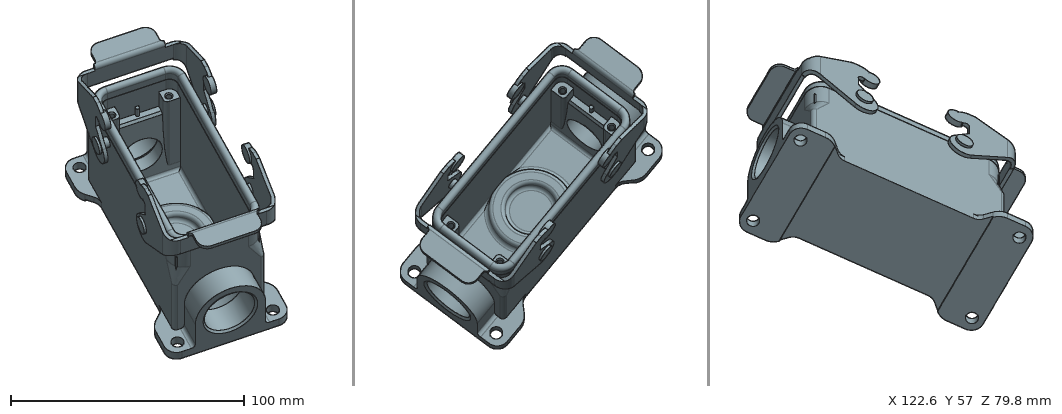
import cadquery as cq
import math

BODY_LENGTH = 92.9
BODY_WIDTH = 42.9
BODY_BOTTOM = 0.9
BODY_TOP = 57.7
UPPER_CORNER = 7.8
LOWER_CORNER = 2.0
BLEND_BOTTOM = 34.7
BLEND_TOP = 44.7

RIM_WALL = 3.9
RIM_INSET = 0.1
RIM_TOP = 63.4

FLOOR = 3.7
FLOOR_FILLET = 1.6
CAVITY_LENGTH = BODY_LENGTH - 2 * RIM_WALL
CAVITY_WIDTH = BODY_WIDTH - 2 * RIM_WALL
CAVITY_CORNER = UPPER_CORNER - RIM_WALL
FLOOR_LENGTH = 71.1
LEDGE_LENGTH = 79.5
LEDGE_TOP = 41.6
LEDGE_CHAMFER = 1.1
RIB_RADIUS = 0.9
RIB_CENTER_X = CAVITY_LENGTH / 2 - 0.9
RIB_HEIGHT = 4.9

POST_TOP = 51.2
POST_X = 35.9
POST_Y = 10.3
POST_ROUND = 1.8
SCREW_X = 38.7
SCREW_Y = 13.4
SCREW_HOLE = 2.5
SCREW_MOUTH = 3.5
SCREW_DEPTH = 12.3

RING_RADIUS = 14.7
RING_FLAT = 3.4
RING_ROUND = 1.8

ENTRY_Z = 19.9
ENTRY_RADIUS = 16.4
BASE_LENGTH = 116.7
BORE = 23.5
BORE_CHAMFER = 1.0
BORE_DEPTH = 13.5
CLEAR_HOLE = 19.0

FOOT_WIDTH = 57.0
FOOT_TOP = 4.5
FOOT_CORNER = 5.8
FOOT_INNER_CORNER = 8.0
FOOT_HOLE = 5.5
FOOT_HOLE_X = 52.7
FOOT_HOLE_Y = 22.3
FOOT_FILLET = 1.8
PAD_INNER_X = 38.1
SELECT_MARGIN = 0.1

SHEET = 1.7
LEVER_END_X = 51.1
LEVER_SIDE_Y = 26.1
LEVER_BEND = 6.0
LEVER_TOP = 79.8
STRAP_BOTTOM = 61.4
STRAP_TOP = 70.7
PIVOT_X = 24.0
PIVOT_Z = 53.7
PIN_DIAMETER = 4.8
HEAD_DIAMETER = 8.0
HEAD_END_Y = 27.2
LOBE_Z = 51.1
LOBE_RADIUS = 6.7
NECK_X = 26.7
THROAT_RADIUS = 1.5
CROWN_OUTER_X = 29.7
CROWN_INNER_X = 26.0
CROWN_SLOPE = 0.46
BROW_X = 23.0
BROW_Z = 78.8
HOOK_X = 20.7
HOOK_Z = 73.7
HOOK_RADIUS = 4.3
HOOK_THICKNESS = 2.7
TAB_TOP = 73.5
TAB_END_X = 61.3
TAB_WIDTH = 29.9
TAB_CORNER = 4.9
TAB_BEND = 2.1
TAB_FLARE = 1.5


def rounded_block(length, width, corner, bottom, top):
    block = cq.Workplane("XY").workplane(offset=bottom).rect(length, width).extrude(top - bottom)
    return block.edges("|Z").fillet(corner)


def rounded_sketch(corner, z):
    sketch = cq.Sketch().rect(BODY_LENGTH, BODY_WIDTH).vertices().fillet(corner)
    return sketch.moved(cq.Location(cq.Vector(0, 0, z)))


def both_ends(solid):
    return solid.union(solid.mirror("YZ"))


def make_shell():
    """Solid body whose small lower corners blend into large upper ones."""
    lower = rounded_block(BODY_LENGTH, BODY_WIDTH, LOWER_CORNER, BODY_BOTTOM, BLEND_BOTTOM)
    blend = (
        cq.Workplane("XY")
        .placeSketch(
            rounded_sketch(LOWER_CORNER, BLEND_BOTTOM),
            rounded_sketch(UPPER_CORNER, BLEND_TOP),
        )
        .loft(ruled=True)
    )
    upper = rounded_block(BODY_LENGTH, BODY_WIDTH, UPPER_CORNER, BLEND_TOP, BODY_TOP)
    return lower.union(blend).union(upper)


def make_rim():
    """Half-round bead swept around the mouth of the shell."""
    radius = RIM_WALL / 2 - RIM_INSET
    center_offset = RIM_WALL / 2
    height = RIM_TOP - BODY_TOP
    path = (
        cq.Workplane("XY", origin=(0, 0, BODY_TOP))
        .rect(BODY_LENGTH - 2 * center_offset, BODY_WIDTH - 2 * center_offset)
        .extrude(height)
        .edges("|Z").fillet(UPPER_CORNER - center_offset)
        .faces("<Z").wires()
    )
    return (
        cq.Workplane("XZ", origin=(0, BODY_WIDTH / 2 - center_offset, BODY_TOP))
        .transformed(rotate=(0, 90, 0))
        .moveTo(-radius, 0)
        .lineTo(radius, 0)
        .lineTo(radius, height - radius)
        .threePointArc((0, height), (-radius, height - radius))
        .close()
        .sweep(path)
    )


def make_foot_plate():
    """Foot plate of the -X end, raised beyond its inner edge."""
    x_end = -BASE_LENGTH / 2
    y_side = FOOT_WIDTH / 2
    y_body = BODY_WIDTH / 2
    slant = math.sqrt(0.5)
    inner_sweep = FOOT_INNER_CORNER * slant
    inner_drop = FOOT_INNER_CORNER * (1 - slant)
    x_arc = -PAD_INNER_X - inner_sweep
    hollow_drop = FOOT_CORNER * (1 - slant)
    x_hollow = -PAD_INNER_X + (y_side - inner_drop) - (y_body + hollow_drop)
    x_tip = x_hollow + FOOT_CORNER * slant
    angle = math.pi / 8

    half = (
        cq.Workplane("XY")
        .moveTo(x_end, 0)
        .lineTo(x_end, y_side - FOOT_CORNER)
        .radiusArc((x_end + FOOT_CORNER, y_side), FOOT_CORNER)
        .lineTo(x_arc, y_side)
        .threePointArc(
            (
                x_arc + FOOT_INNER_CORNER * math.sin(angle),
                y_side - FOOT_INNER_CORNER * (1 - math.cos(angle)),
            ),
            (-PAD_INNER_X, y_side - inner_drop),
        )
        .lineTo(x_hollow, y_body + hollow_drop)
        .threePointArc(
            (
                x_tip - FOOT_CORNER * math.sin(angle),
                y_body + FOOT_CORNER * (1 - math.cos(angle)),
            ),
            (x_tip, y_body),
        )
        .lineTo(x_tip, 0)
        .close()
        .extrude(FOOT_TOP)
    )
    plate = half.union(half.mirror("XZ"))
    relief = cq.Workplane("XY").box(
        PAD_INNER_X, FOOT_WIDTH, BODY_BOTTOM, centered=(False, True, False)
    )
    return plate.cut(relief.translate((-PAD_INNER_X, 0, 0)))


def make_end():
    """Foot plate and arched cable entry of the -X end."""
    x_end = -BASE_LENGTH / 2
    entry = (
        cq.Workplane("YZ", origin=(x_end, 0, 0))
        .moveTo(-ENTRY_RADIUS, 0)
        .lineTo(-ENTRY_RADIUS, ENTRY_Z)
        .threePointArc((0, ENTRY_Z + ENTRY_RADIUS), (ENTRY_RADIUS, ENTRY_Z))
        .lineTo(ENTRY_RADIUS, 0)
        .close()
        .extrude(BASE_LENGTH / 2 - BODY_LENGTH / 2 + RIM_WALL)
    )
    end = make_foot_plate().union(entry)
    corners = cq.selectors.BoxSelector(
        (x_end, -ENTRY_RADIUS - SELECT_MARGIN, FOOT_TOP - SELECT_MARGIN),
        (-BODY_LENGTH / 2, ENTRY_RADIUS + SELECT_MARGIN, FOOT_TOP + SELECT_MARGIN),
    )
    end = end.edges("|X").edges(corners).fillet(FOOT_FILLET)
    holes = (
        cq.Workplane("XY")
        .pushPoints([(-FOOT_HOLE_X, -FOOT_HOLE_Y), (-FOOT_HOLE_X, FOOT_HOLE_Y)])
        .circle(FOOT_HOLE / 2).extrude(FOOT_TOP)
    )
    return end.cut(holes)


def make_cavity():
    """Open pocket with sloping end walls below a chamfered ledge."""
    ledge_half = LEDGE_LENGTH / 2
    wall_half = ledge_half - LEDGE_CHAMFER
    floor_half = FLOOR_LENGTH / 2
    slope_top = LEDGE_TOP - LEDGE_CHAMFER
    lower = (
        cq.Workplane("XZ", origin=(0, CAVITY_WIDTH / 2, 0))
        .polyline([
            (-floor_half, FLOOR),
            (floor_half, FLOOR),
            (wall_half, slope_top),
            (ledge_half, LEDGE_TOP),
            (-ledge_half, LEDGE_TOP),
            (-wall_half, slope_top),
        ])
        .close()
        .extrude(CAVITY_WIDTH)
        .faces("<Z").edges().fillet(FLOOR_FILLET)
    )
    upper = rounded_block(CAVITY_LENGTH, CAVITY_WIDTH, CAVITY_CORNER, LEDGE_TOP, BODY_TOP)
    return lower.union(upper)


def make_posts():
    x_outer = CAVITY_LENGTH / 2 + RIM_WALL / 2
    y_outer = CAVITY_WIDTH / 2 + RIM_WALL / 2
    post = (
        cq.Workplane("XY").box(x_outer - POST_X, y_outer - POST_Y, POST_TOP - FLOOR, centered=False)
        .edges("|Z and <X and <Y").fillet(POST_ROUND)
        .translate((POST_X, POST_Y, FLOOR))
    )
    mouth_depth = (SCREW_MOUTH - SCREW_HOLE) / 2
    hole = (
        cq.Workplane("XY", origin=(SCREW_X, SCREW_Y, POST_TOP - SCREW_DEPTH))
        .circle(SCREW_HOLE / 2).extrude(SCREW_DEPTH)
        .faces(">Z").workplane(offset=-mouth_depth)
        .circle(SCREW_HOLE / 2).workplane(offset=mouth_depth).circle(SCREW_MOUTH / 2).loft()
    )
    post = post.cut(hole)
    pair = post.union(post.mirror("XZ"))
    return both_ends(pair)


def make_ribs():
    """Small round-nosed rib on the ledge at the middle of each end wall."""
    rib = (
        cq.Workplane("XY", origin=(RIB_CENTER_X, 0, LEDGE_TOP))
        .slot2D(4 * RIB_RADIUS, 2 * RIB_RADIUS).extrude(RIB_HEIGHT)
        .translate((RIB_RADIUS, 0, 0))
    )
    return both_ends(rib)


def make_floor_ring():
    r = RING_ROUND
    inner = RING_RADIUS - RING_FLAT / 2
    outer = RING_RADIUS + RING_FLAT / 2
    bend = math.sqrt(0.5) * r
    top = FLOOR + 2 * r
    return (
        cq.Workplane("XZ")
        .moveTo(inner - 2 * r, FLOOR)
        .threePointArc((inner - 2 * r + bend, FLOOR + r - bend), (inner - r, FLOOR + r))
        .threePointArc((inner - bend, top - r + bend), (inner, top))
        .lineTo(outer, top)
        .threePointArc((outer + bend, top - r + bend), (outer + r, FLOOR + r))
        .threePointArc((outer + 2 * r - bend, FLOOR + r - bend), (outer + 2 * r, FLOOR))
        .lineTo(outer + 2 * r, FLOOR - BODY_BOTTOM)
        .lineTo(inner - 2 * r, FLOOR - BODY_BOTTOM)
        .close()
        .revolve(360, (0, 0, 0), (0, 1, 0))
    )


def make_entry_bore():
    """Stepped bore of the -X end: chamfered mouth, conical step, clear hole."""
    x_mouth = -BASE_LENGTH / 2
    x_step = x_mouth + BORE_DEPTH
    bore = BORE / 2
    clear = CLEAR_HOLE / 2
    return (
        cq.Workplane("XZ")
        .polyline([
            (x_mouth, ENTRY_Z),
            (x_mouth, ENTRY_Z + bore + BORE_CHAMFER),
            (x_mouth + BORE_CHAMFER, ENTRY_Z + bore),
            (x_step, ENTRY_Z + bore),
            (x_step + bore - clear, ENTRY_Z + clear),
            (-FLOOR_LENGTH / 2, ENTRY_Z + clear),
            (-FLOOR_LENGTH / 2, ENTRY_Z),
        ])
        .close()
        .revolve(360, (0, ENTRY_Z, 0), (1, ENTRY_Z, 0))
    )


def make_lever_outline():
    """Side shape of the -X lever, wider in Y than the lever itself."""
    tangent = LOBE_RADIUS * math.sqrt(0.5)
    run = LEVER_END_X - PIVOT_X
    fall = STRAP_BOTTOM - LOBE_Z
    tilt = math.asin(LOBE_RADIUS / math.hypot(run, fall)) + math.atan2(fall, run)
    lobe_angle = math.pi / 8
    neck_z = LOBE_Z + 2 * tangent + NECK_X - PIVOT_X
    strap_edge_x = -CROWN_OUTER_X - (LEVER_TOP - STRAP_TOP) / CROWN_SLOPE
    hook_bottom = HOOK_Z - HOOK_RADIUS
    return (
        cq.Workplane("XZ", origin=(0, FOOT_WIDTH / 2, 0))
        .moveTo(-LEVER_END_X, STRAP_BOTTOM)
        .lineTo(-PIVOT_X - LOBE_RADIUS * math.sin(tilt), LOBE_Z - LOBE_RADIUS * math.cos(tilt))
        .threePointArc(
            (
                -PIVOT_X + LOBE_RADIUS * math.sin(lobe_angle),
                LOBE_Z - LOBE_RADIUS * math.cos(lobe_angle),
            ),
            (-PIVOT_X + tangent, LOBE_Z + tangent),
        )
        .lineTo(-NECK_X, neck_z)
        .lineTo(-NECK_X, hook_bottom)
        .threePointArc(
            (-NECK_X + THROAT_RADIUS, hook_bottom + THROAT_RADIUS),
            (-NECK_X + 2 * THROAT_RADIUS, hook_bottom + THROAT_RADIUS / 2),
        )
        .lineTo(-HOOK_X, HOOK_Z)
        .lineTo(-HOOK_X, HOOK_Z + HOOK_RADIUS - THROAT_RADIUS / 2)
        .threePointArc((-BROW_X, BROW_Z), (-CROWN_INNER_X, LEVER_TOP))
        .lineTo(-CROWN_OUTER_X, LEVER_TOP)
        .lineTo(strap_edge_x, STRAP_TOP)
        .lineTo(-LEVER_END_X, STRAP_TOP)
        .close()
        .extrude(FOOT_WIDTH)
    )


def lever_plan(inset):
    bottom = PIVOT_Z - 2 * LOBE_RADIUS
    return (
        cq.Workplane("XY", origin=(-LEVER_END_X / 2, 0, bottom))
        .rect(LEVER_END_X - 2 * inset, 2 * (LEVER_SIDE_Y - inset))
        .extrude(LEVER_TOP + LOBE_RADIUS - bottom)
        .edges("|Z and <X").fillet(LEVER_BEND - inset)
    )


def side_discs(x, z, diameter, y_inner, y_outer):
    disc = (
        cq.Workplane("XZ", origin=(x, -y_inner, z))
        .circle(diameter / 2).extrude(y_outer - y_inner)
    )
    return disc.union(disc.mirror("XZ"))


def make_tab():
    """Thumb tab bent outwards from the top of the strap."""
    x_inner = -LEVER_END_X + SHEET
    x_bend = x_inner - TAB_BEND
    slant = TAB_BEND * math.sqrt(0.5)
    y_side = TAB_WIDTH / 2
    section = (
        cq.Workplane("XZ", origin=(0, y_side + TAB_FLARE, 0))
        .moveTo(-TAB_END_X, TAB_TOP)
        .lineTo(x_bend, TAB_TOP)
        .threePointArc((x_bend + slant, TAB_TOP - TAB_BEND + slant), (x_inner, TAB_TOP - TAB_BEND))
        .lineTo(x_inner, STRAP_TOP - SHEET)
        .lineTo(-LEVER_END_X, STRAP_TOP - SHEET)
        .lineTo(-LEVER_END_X, TAB_TOP - TAB_BEND)
        .lineTo(x_bend, TAB_TOP - SHEET)
        .lineTo(-TAB_END_X, TAB_TOP - SHEET)
        .close()
        .extrude(TAB_WIDTH + 2 * TAB_FLARE)
    )
    half_plan = (
        cq.Workplane("XY", origin=(0, 0, STRAP_BOTTOM))
        .moveTo(-TAB_END_X, 0)
        .lineTo(-TAB_END_X, y_side - TAB_CORNER)
        .radiusArc((-TAB_END_X + TAB_CORNER, y_side), TAB_CORNER)
        .lineTo(-LEVER_END_X - TAB_FLARE, y_side)
        .radiusArc((-LEVER_END_X, y_side + TAB_FLARE), -TAB_FLARE)
        .lineTo(x_inner, y_side + TAB_FLARE)
        .lineTo(x_inner, 0)
        .close()
        .extrude(LEVER_TOP - STRAP_BOTTOM)
    )
    return section.intersect(half_plan.union(half_plan.mirror("XZ")))


def make_lever():
    """Bent sheet lever of the -X end with its hooks, pivot pins and tab."""
    sheet = make_lever_outline().intersect(lever_plan(0).cut(lever_plan(SHEET)))
    strap_width = 2 * (LEVER_SIDE_Y - LEVER_BEND)
    below_strap = cq.Workplane("XY").box(2 * SHEET, strap_width, SHEET, centered=(True, True, False))
    sheet = sheet.cut(below_strap.translate((-LEVER_END_X, 0, STRAP_BOTTOM - SHEET)))
    hooks = side_discs(-HOOK_X, HOOK_Z, 2 * HOOK_RADIUS, LEVER_SIDE_Y - HOOK_THICKNESS, LEVER_SIDE_Y)
    pins = side_discs(-PIVOT_X, PIVOT_Z, PIN_DIAMETER, (BODY_WIDTH - RIM_WALL) / 2, LEVER_SIDE_Y)
    heads = side_discs(-PIVOT_X, PIVOT_Z, HEAD_DIAMETER, LEVER_SIDE_Y, HEAD_END_Y)
    return sheet.union(hooks).union(pins).union(heads).union(make_tab())


housing = make_shell().union(both_ends(make_end()))
housing = housing.cut(make_cavity()).union(make_floor_ring())
housing = housing.union(make_posts()).union(make_ribs())
housing = housing.cut(both_ends(make_entry_bore()))
housing = housing.union(make_rim())
result = housing.union(both_ends(make_lever()))